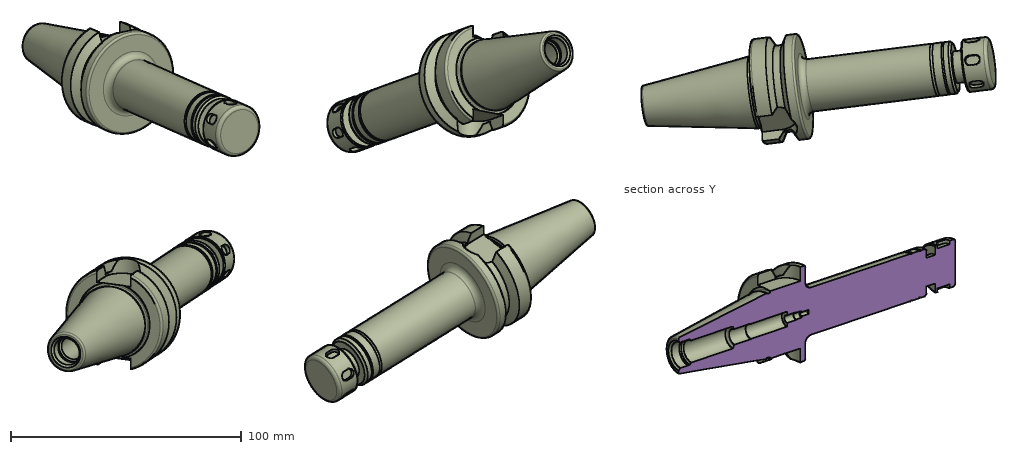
import cadquery as cq
import math

gauge_dia = 31.75
taper_ratio = 7 / 24
shank_length = 48.4
shank_end_radius = 0.9
relief_start = 0.9
relief_dia = 31.0
relief_root_radius = 0.5

flange_dia = 46.0
flange_start = 2.0
flange_end = 22.0
flange_edge_radius = 1.0
face_recess_dia = 34.2
face_recess_depth = 0.25
gripper_center = 13.42
gripper_floor_width = 3.3
gripper_floor_dia = 38.0
gripper_half_angle = 30.0

key_width = 16.1
key_floor_height = 16.3
key_end = 18.95

body_dia = 23.0
body_end = 89.0
body_fillet = 3.0
body_end_chamfer = 1.0
ring_grooves = ((79.8, 81.0), (84.9, 85.7))
ring_groove_depth = 0.3

neck_dia = 14.0
nut_dia = 23.0
nut_start = 93.5
nut_end = 105.0
nut_back_chamfer = 0.55
nut_front_radius = 1.6

slot_count = 6
slot_center = 98.3
slot_length = 6.5
slot_width = 4.3
slot_depth = 1.8

mouth_chamfer_dia = 14.0
pilot_dia = 12.1
pilot_depth = 5.2
ledge_dia = 12.0
ledge_depth = 6.2
thread_dia = 10.4
thread_depth = 30.0
coolant_steps = ((7.3, 40.0), (7.0, 60.0), (3.5, 65.0), (3.0, 68.0), (1.7, 72.0))
drill_point_half_angle = 59.0
ledge_chamfer_half_angle = 45.0

small_end = -shank_length
small_end_radius = (gauge_dia - taper_ratio * shank_length) / 2


def revolve_about_axis(profile):
    """Full turn of a closed profile, drawn as (X, radius), about the X axis."""
    return profile.close().revolve(360, (0, 0, 0), (1, 0, 0))


def make_shank():
    """Taper cone, relief behind the gauge plane and a rounded root running into the flange."""
    relief_radius = relief_dia / 2
    root = relief_root_radius
    root_end = flange_start + face_recess_depth
    cone_and_relief = revolve_about_axis(
        cq.Workplane("XY")
        .moveTo(small_end, 0)
        .lineTo(small_end, small_end_radius)
        .lineTo(0, gauge_dia / 2)
        .lineTo(relief_start, relief_radius)
        .lineTo(root_end - root, relief_radius)
        .radiusArc((root_end, relief_radius + root), -root)
        .lineTo(flange_end, relief_radius + root)
        .lineTo(flange_end, 0)
    )
    return cone_and_relief.faces("<X").edges().fillet(shank_end_radius)


def make_flange():
    """Flange with rounded rims, a V-shaped gripper groove and a shallow recess around the taper."""
    radius = flange_dia / 2
    floor_radius = gripper_floor_dia / 2
    recess_radius = face_recess_dia / 2
    half_floor = gripper_floor_width / 2
    half_mouth = half_floor + (radius - floor_radius) * math.tan(math.radians(gripper_half_angle))
    edge = flange_edge_radius
    return revolve_about_axis(
        cq.Workplane("XY")
        .moveTo(flange_start + face_recess_depth, 0)
        .lineTo(flange_start + face_recess_depth, recess_radius)
        .lineTo(flange_start, recess_radius)
        .lineTo(flange_start, radius - edge)
        .radiusArc((flange_start + edge, radius), edge)
        .lineTo(gripper_center - half_mouth, radius)
        .lineTo(gripper_center - half_floor, floor_radius)
        .lineTo(gripper_center + half_floor, floor_radius)
        .lineTo(gripper_center + half_mouth, radius)
        .lineTo(flange_end - edge, radius)
        .radiusArc((flange_end, radius - edge), edge)
        .lineTo(flange_end, 0)
    )


def make_body():
    radius = body_dia / 2
    return revolve_about_axis(
        cq.Workplane("XY")
        .moveTo(gripper_center, 0)
        .lineTo(gripper_center, radius + body_fillet)
        .lineTo(flange_end, radius + body_fillet)
        .radiusArc((flange_end + body_fillet, radius), -body_fillet)
        .lineTo(body_end - body_end_chamfer, radius)
        .lineTo(body_end, radius - body_end_chamfer)
        .lineTo(body_end, 0)
    )


def make_neck():
    return cq.Workplane("YZ", origin=(body_end, 0, 0)).circle(neck_dia / 2).extrude(nut_start - body_end)


def make_nut():
    radius = nut_dia / 2
    return revolve_about_axis(
        cq.Workplane("XY")
        .moveTo(nut_start, 0)
        .lineTo(nut_start, radius - nut_back_chamfer)
        .lineTo(nut_start + nut_back_chamfer, radius)
        .lineTo(nut_end - nut_front_radius, radius)
        .radiusArc((nut_end, radius - nut_front_radius), nut_front_radius)
        .lineTo(nut_end, 0)
    )


def cut_ring_grooves(part):
    """Shallow round-bottomed rings around the body."""
    radius = body_dia / 2
    for start, end in ring_grooves:
        groove = revolve_about_axis(
            cq.Workplane("XY")
            .moveTo(start, radius)
            .threePointArc(((start + end) / 2, radius - ring_groove_depth), (end, radius))
            .lineTo(end, radius + ring_groove_depth)
            .lineTo(start, radius + ring_groove_depth)
        )
        part = part.cut(groove)
    return part


def cut_keyways(part):
    """Two opposite round-ended keyways, open towards the taper."""
    arc_center = key_end - key_width / 2
    keyway = (
        cq.Workplane("XY", origin=(0, 0, key_floor_height))
        .moveTo(0, -key_width / 2)
        .lineTo(arc_center, -key_width / 2)
        .threePointArc((key_end, 0), (arc_center, key_width / 2))
        .lineTo(0, key_width / 2)
        .close()
        .extrude(flange_dia / 2)
    )
    return part.cut(keyway).cut(keyway.mirror("XY"))


def cut_spanner_slots(part):
    """Round-ended, flat-bottomed slots spaced evenly around the nut, the first facing +Z."""
    slot = (
        cq.Workplane("XY", origin=(slot_center, 0, nut_dia / 2 - slot_depth))
        .slot2D(slot_length, slot_width)
        .extrude(nut_dia / 2)
    )
    for index in range(slot_count):
        turn = index * 360 / slot_count
        part = part.cut(slot.rotate((0, 0, 0), (1, 0, 0), turn))
    return part


def cone_length(large_dia, small_dia, half_angle):
    return (large_dia - small_dia) / 2 / math.tan(math.radians(half_angle))


def cut_bore(part):
    """Pull-stud bore from the small end: chamfered pilot, ledge, thread bore and coolant steps."""
    mouth_chamfer = (mouth_chamfer_dia - pilot_dia) / 2
    pilot_end = small_end + pilot_depth
    thread_end = small_end + thread_depth
    ledge_end = small_end + ledge_depth
    thread_start = ledge_end + cone_length(ledge_dia, thread_dia, ledge_chamfer_half_angle)
    first_coolant_dia = coolant_steps[0][0]
    step_start = thread_end + cone_length(thread_dia, first_coolant_dia, drill_point_half_angle)
    profile = (
        cq.Workplane("XY")
        .moveTo(small_end, 0)
        .lineTo(small_end, mouth_chamfer_dia / 2)
        .lineTo(small_end + mouth_chamfer, pilot_dia / 2)
        .lineTo(pilot_end, pilot_dia / 2)
        .lineTo(pilot_end, ledge_dia / 2)
        .lineTo(ledge_end, ledge_dia / 2)
        .lineTo(thread_start, thread_dia / 2)
        .lineTo(thread_end, thread_dia / 2)
        .lineTo(step_start, first_coolant_dia / 2)
    )
    for index, (diameter, depth) in enumerate(coolant_steps):
        if index > 0:
            profile = profile.lineTo(step_start, diameter / 2)
        step_start = small_end + depth
        profile = profile.lineTo(step_start, diameter / 2)
    bore = revolve_about_axis(profile.lineTo(step_start, 0))
    return part.cut(bore)


holder = make_shank().union(make_flange()).union(make_body()).union(make_neck()).union(make_nut())
holder = cut_keyways(holder)
holder = cut_ring_grooves(holder)
holder = cut_spanner_slots(holder)
result = cut_bore(holder)